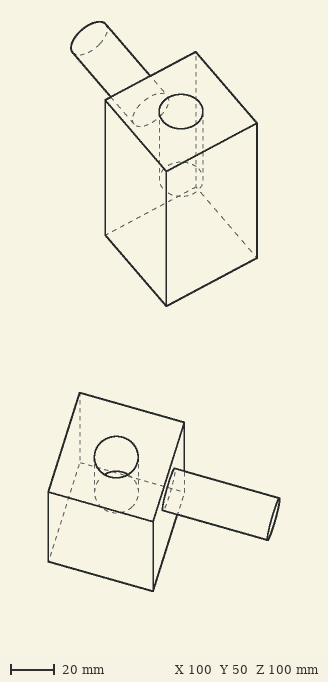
import cadquery as cq

block_width = 50.0
block_height = 100.0

pin_diameter = 20.0
pin_length = 50.0
pin_axis_height = 75.0

hole_diameter = 20.0
hole_depth = 50.0


def make_block():
    """Block centred on the Z axis, standing on the XY plane."""
    return cq.Workplane("XY").box(block_width, block_width, block_height, centered=(True, True, False))


def make_pin():
    """Pin that projects from the -X face of the block."""
    return (
        cq.Workplane("YZ", origin=(-block_width / 2, 0, pin_axis_height))
        .circle(pin_diameter / 2)
        .extrude(-pin_length)
    )


def make_hole():
    """Flat-bottomed hole volume on the block axis, open at the top."""
    return (
        cq.Workplane("XY", origin=(0, 0, block_height))
        .circle(hole_diameter / 2)
        .extrude(-hole_depth)
    )


result = make_block().union(make_pin()).cut(make_hole())